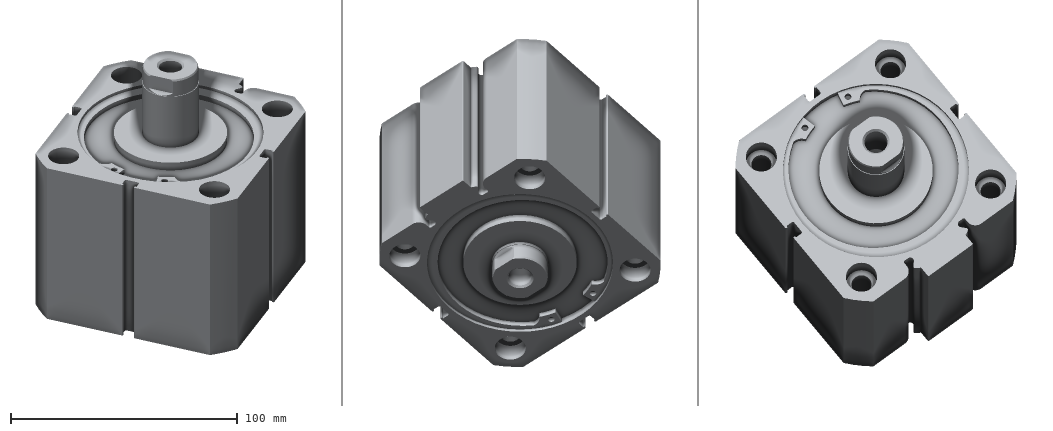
import cadquery as cq
import math

housing_width = 96.5
housing_height = 78.5
half_width = housing_width / 2
corner_radius = 62.0
bore_radius = 41.0

bolt_pitch = 72.0
bolt_hole_diameter = 8.8
counterbore_diameter = 13.7
counterbore_depth = 9.0

slot_depth = 4.65
slot_width = 6.8
slot_opening = 5.3
slot_lip = 1.0
slot_mouth_chamfer = 0.3
slot_corner_radius = 0.8

rail_height = 5.5
rail_half_width = 12.5
rail_edge_radius = 0.4
rail_top = half_width + rail_height
nose_rise = 0.25
nose_top = half_width + nose_rise
nose_center = (14.05, 46.5)
nose_radius = 0.9
groove_center = (14.3, 43.05)
groove_radius = 1.6
groove_wall_x = 16.95
groove_corner_radius = 0.8
shoulder_radius = 4.4

ring_recess = 1.5
ring_thickness = 2.5
cover_recess = ring_recess + ring_thickness
cover_thickness = 16.0
boss_diameter = 50.0
boss_height = 4.0

ring_inner_radius = 37.5
ring_inner_offset = -1.8
ear_inner_radius = 34.6
ear_start_angle = 13.4
ear_end_angle = 34.0
ear_relief_center = (19.3, -28.6)
ear_relief_radius = 4.9
ear_hole_center = (12.0, -35.6)
ear_hole_diameter = 3.0

rod_diameter = 25.0
rod_top_reach = 35.0
rod_bottom_reach = 10.0
tip_diameter = 24.5
tip_length = 8.5
tip_chamfer_length = 0.8
tip_chamfer_depth = 0.4
flat_spacing = 21.7
flat_length = 7.0
thread_hole_diameter = 10.2
thread_hole_depth = 22.0
thread_chamfer_diameter = 12.0
drill_point_angle = 118.0


def polar(center, radius, degrees):
    """Point on a circle, angle measured from +X."""
    angle = math.radians(degrees)
    return (center[0] + radius * math.cos(angle), center[1] + radius * math.sin(angle))


def from_front(radius, degrees):
    """Point about the bore axis, angle measured from -Y towards +X."""
    angle = math.radians(degrees)
    return (radius * math.sin(angle), -radius * math.cos(angle))


def block(x0, x1, y0, y1, z0, z1):
    size = (x1 - x0, y1 - y0, z1 - z0)
    return cq.Workplane("XY").box(*size, centered=False).translate((x0, y0, z0))


def disk(radius, z0, height):
    return cq.Workplane("XY").workplane(offset=z0).circle(radius).extrude(height)


def sensor_slot():
    """Undercut slot in the -Y face."""
    lip_y = -half_width + slot_lip
    floor_y = -half_width + slot_depth
    lip_x = slot_opening / 2
    mouth_x = lip_x + slot_mouth_chamfer
    opening = (
        cq.Workplane("XY")
        .polyline([
            (-mouth_x, -half_width),
            (mouth_x, -half_width),
            (lip_x, -half_width + slot_mouth_chamfer),
            (lip_x, lip_y),
            (-lip_x, lip_y),
            (-lip_x, -half_width + slot_mouth_chamfer),
        ])
        .close()
        .extrude(housing_height)
    )
    pocket = block(-slot_width / 2, slot_width / 2, lip_y, floor_y, 0, housing_height)
    pocket = pocket.edges("|Z and >Y").fillet(slot_corner_radius)
    return pocket.union(opening)


def rail_groove():
    """Space beside the rail on the +X side, from its nose round to the +Y face."""
    floor_y = groove_center[1] - groove_radius
    corner_center = (groove_wall_x - groove_corner_radius, floor_y + groove_corner_radius)
    shoulder_center = (groove_wall_x + shoulder_radius, half_width - shoulder_radius)
    return (
        cq.Workplane("XY")
        .moveTo(rail_half_width, rail_top)
        .lineTo(rail_half_width, nose_top)
        .lineTo(*polar(nose_center, nose_radius, 60))
        .threePointArc(polar(nose_center, nose_radius, 0), polar(nose_center, nose_radius, -45))
        .lineTo(*polar(groove_center, groove_radius, 135))
        .threePointArc(polar(groove_center, groove_radius, 200), polar(groove_center, groove_radius, 270))
        .lineTo(corner_center[0], floor_y)
        .threePointArc(polar(corner_center, groove_corner_radius, -45), (groove_wall_x, corner_center[1]))
        .lineTo(groove_wall_x, shoulder_center[1])
        .threePointArc(polar(shoulder_center, shoulder_radius, 135), (shoulder_center[0], half_width))
        .lineTo(shoulder_center[0], rail_top)
        .close()
        .extrude(housing_height)
    )


def make_housing():
    body = cq.Workplane("XY").rect(housing_width, housing_width).extrude(housing_height)
    body = body.intersect(disk(corner_radius, 0, housing_height))

    body = body.union(block(-rail_half_width, rail_half_width, 0, rail_top, 0, housing_height))
    groove = rail_groove()
    body = body.cut(groove).cut(groove.mirror("YZ"))
    body = body.faces(">Y").edges("|Z").fillet(rail_edge_radius)

    for angle in (-90, 0, 90):
        body = body.cut(sensor_slot().rotate((0, 0, 0), (0, 0, 1), angle))

    bolts = cq.Workplane("XY").rect(bolt_pitch, bolt_pitch, forConstruction=True).vertices()
    body = body.cut(bolts.circle(bolt_hole_diameter / 2).extrude(housing_height))
    counterbores = bolts.circle(counterbore_diameter / 2).extrude(counterbore_depth)
    for z in (0, housing_height - counterbore_depth):
        body = body.cut(counterbores.translate((0, 0, z)))

    return body.cut(disk(bore_radius, 0, housing_height))


def make_cover():
    face_z = housing_height - cover_recess
    cover = disk(bore_radius, face_z - cover_thickness, cover_thickness)
    cover = cover.union(disk(boss_diameter / 2, face_z, boss_height))
    return cover.cut(disk(rod_diameter / 2, 0, housing_height))


def ring_sector(inner_radius, start, end):
    """Sector of the ring's height between two angles, out to the bore wall."""
    middle = (start + end) / 2
    return (
        cq.Workplane("XY")
        .moveTo(*from_front(inner_radius, start))
        .lineTo(*from_front(bore_radius, start))
        .threePointArc(from_front(bore_radius, middle), from_front(bore_radius, end))
        .lineTo(*from_front(inner_radius, end))
        .threePointArc(from_front(inner_radius, middle), from_front(inner_radius, start))
        .close()
        .extrude(ring_thickness)
    )


def make_snap_ring():
    ring = disk(bore_radius, 0, ring_thickness)
    ring = ring.cut(disk(ring_inner_radius, 0, ring_thickness).translate((0, ring_inner_offset, 0)))
    ring = ring.cut(ring_sector(ear_inner_radius, -ear_start_angle, ear_start_angle))

    ear = ring_sector(ear_inner_radius, ear_start_angle, ear_end_angle)
    ear = ear.cut(disk(ear_relief_radius, 0, ring_thickness).translate((*ear_relief_center, 0)))
    hole = disk(ear_hole_diameter / 2, 0, ring_thickness).translate((*ear_hole_center, 0))
    ring = ring.union(ear).union(ear.mirror("YZ"))
    ring = ring.cut(hole).cut(hole.mirror("YZ"))
    return ring.translate((0, 0, housing_height - cover_recess))


def on_bottom(part):
    """The same part at the other end of the housing."""
    return part.mirror("XY", (0, 0, housing_height / 2))


def flat_cutter():
    """Space outside the -Y wrench flat of a tip ending at Z = 0; its floor slopes out at 45 degrees."""
    flat_y = -flat_spacing / 2
    reach = tip_length - flat_length
    return (
        cq.Workplane("YZ")
        .polyline([
            (flat_y, 0),
            (flat_y, -flat_length),
            (flat_y - reach, -tip_length),
            (flat_y - reach, 0),
        ])
        .close()
        .extrude(rod_diameter / 2, both=True)
    )


def threaded_hole():
    """Drilled hole with a conical bottom and a chamfered mouth at Z = 0."""
    hole_radius = thread_hole_diameter / 2
    mouth_radius = thread_chamfer_diameter / 2
    point_depth = hole_radius / math.tan(math.radians(drill_point_angle / 2))
    return (
        cq.Workplane("XZ")
        .polyline([
            (0, 0),
            (mouth_radius, 0),
            (hole_radius, hole_radius - mouth_radius),
            (hole_radius, -thread_hole_depth),
            (0, -thread_hole_depth - point_depth),
        ])
        .close()
        .revolve(360, (0, 0, 0), (0, 1, 0))
    )


def rod_half(length):
    """Rod from its tip at Z = 0 down to the given length."""
    half = disk(rod_diameter / 2, -length, length - tip_length)
    tip = disk(tip_diameter / 2, -tip_length, tip_length)
    tip = tip.faces(">Z").chamfer(tip_chamfer_length, tip_chamfer_depth)
    half = half.union(tip)
    for angle in (0, 180):
        half = half.cut(flat_cutter().rotate((0, 0, 0), (0, 0, 1), angle))
    return half.cut(threaded_hole())


def make_rod():
    half_length = (rod_bottom_reach + housing_height + rod_top_reach) / 2
    top = rod_half(half_length).translate((0, 0, half_length))
    rod = top.union(top.mirror("XY"))
    return rod.translate((0, 0, half_length - rod_bottom_reach))


housing = make_housing()
top_cover = make_cover()
bottom_cover = on_bottom(top_cover)
top_ring = make_snap_ring()
bottom_ring = on_bottom(top_ring)
rod = make_rod()

bodies = [housing, top_cover, bottom_cover, top_ring, bottom_ring, rod]
result = cq.Compound.makeCompound([body.solids().val() for body in bodies])